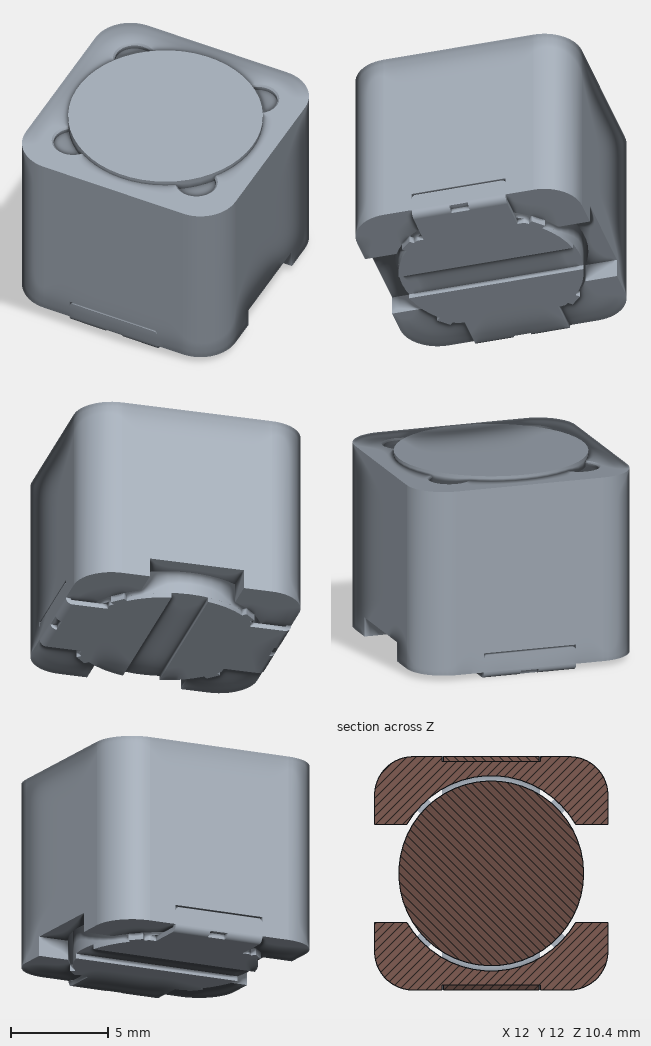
import cadquery as cq
import math


housing_side = 12.0
housing_corner_radius = 2.0
housing_bottom = 0.35
housing_top = 10.13
bore_diameter = 10.0
foot_opening_width = 5.0
foot_opening_height = 1.02

pocket_diameter = 2.0
pocket_depth = 0.3
pocket_chamfer = 0.1

core_top = 10.38
core_lower_diameter = 9.5

sheet_thickness = 0.25
terminal_width = foot_opening_width
terminal_top = 1.27
terminal_corner_radius = 0.2
bend_radius = housing_bottom
terminal_gap = 1.95
pad_radius = core_lower_diameter / 2
pad_front = 3.79
lug_width = 0.79
lug_reach = 5.0
bend_notch_width = 0.98

half_side = housing_side / 2
pocket_floor = housing_top - pocket_depth


def upright_cylinder(diameter, bottom, top):
    """Cylinder on the Z axis between two heights."""
    return cq.Workplane("XY").workplane(offset=bottom).circle(diameter / 2).extrude(top - bottom)


def block(x_range, y_range, z_range):
    """Box between two coordinates on each axis."""
    corner = (x_range[0], y_range[0], z_range[0])
    size = [high - low for low, high in (x_range, y_range, z_range)]
    return cq.Workplane("XY").box(*size, centered=False).translate(corner)


def across(width):
    """Range of the given width, centred on zero."""
    return (-width / 2, width / 2)


def cut_corner_pockets(body):
    """Four chamfered blind pockets in the top face, on the diagonals."""
    pocket_radius = pocket_diameter / 2
    pocket = cq.Workplane("XY").workplane(offset=pocket_floor).circle(pocket_radius).extrude(pocket_depth)
    chamfer_cone = (
        cq.Workplane("XY")
        .workplane(offset=housing_top - pocket_chamfer)
        .circle(pocket_radius)
        .workplane(offset=pocket_chamfer)
        .circle(pocket_radius + pocket_chamfer)
        .loft(ruled=True)
    )
    for angle in (45, 135, 225, 315):
        for cutter in (pocket, chamfer_cone):
            placed = cutter.translate((bore_diameter / 2, 0, 0)).rotate((0, 0, 0), (0, 0, 1), angle)
            body = body.cut(placed)
    return body


def make_housing():
    body = (
        cq.Workplane("XY")
        .workplane(offset=housing_bottom)
        .rect(housing_side, housing_side)
        .extrude(housing_top - housing_bottom)
        .edges("|Z")
        .fillet(housing_corner_radius)
    )
    body = cut_corner_pockets(body)
    body = body.cut(upright_cylinder(bore_diameter, housing_bottom, housing_top))

    opening_z = (housing_bottom, housing_bottom + foot_opening_height)
    for angle in (0, 180):
        side_opening = block((-half_side, 0), across(foot_opening_width), opening_z)
        terminal_recess = block(
            across(terminal_width), (-half_side, sheet_thickness - half_side), opening_z
        )
        for cutter in (side_opening, terminal_recess):
            body = body.cut(cutter.rotate((0, 0, 0), (0, 0, 1), angle))
    return body


def make_core():
    """Stepped core: a disc that fills the bore at the top and a narrower part below it."""
    lower_part = upright_cylinder(core_lower_diameter, sheet_thickness, pocket_floor)
    top_disc = upright_cylinder(bore_diameter, pocket_floor, core_top)
    return lower_part.union(top_disc)


def make_bent_strip():
    """L-shaped strip: upright against the housing, then bent inward under it."""
    strip = (
        cq.Workplane("YZ")
        .moveTo(-half_side, terminal_top)
        .lineTo(-half_side, bend_radius)
        .radiusArc((bend_radius - half_side, 0), -bend_radius)
        .lineTo(-terminal_gap / 2, 0)
        .lineTo(-terminal_gap / 2, sheet_thickness)
        .lineTo(bend_radius - half_side, sheet_thickness)
        .radiusArc((sheet_thickness - half_side, bend_radius), bend_radius - sheet_thickness)
        .lineTo(sheet_thickness - half_side, terminal_top)
        .close()
        .extrude(terminal_width / 2, both=True)
    )
    return strip.edges("|Y and >Z").fillet(terminal_corner_radius)


def make_pad():
    """Part of a disc under the core, cut flat toward the bend and toward the other terminal."""
    disc = upright_cylinder(2 * pad_radius, 0, sheet_thickness)
    kept = block(across(2 * pad_radius), (-pad_front, -terminal_gap / 2), (0, sheet_thickness))
    pad = disc.intersect(kept)
    return pad.edges("|Z and <Y").fillet(terminal_corner_radius)


def make_lug(angle):
    """Lug that sticks out past the core and ends level with the housing underside."""
    lug = block((lug_reach / 2, lug_reach), across(lug_width), (0, housing_bottom))
    lug = lug.cut(upright_cylinder(core_lower_diameter, sheet_thickness, housing_bottom))
    return lug.rotate((0, 0, 0), (0, 0, 1), angle)


def make_terminal(angle):
    """Terminal of the -Y side, turned about Z by the given angle."""
    bend_notch = block(
        across(bend_notch_width), (-half_side, bend_radius - half_side), (0, sheet_thickness)
    )
    terminal = make_bent_strip().union(make_pad())
    for lug_angle in (225, 315):
        terminal = terminal.union(make_lug(lug_angle))
    return terminal.cut(bend_notch).rotate((0, 0, 0), (0, 0, 1), angle)


housing = make_housing()
core = make_core()
terminals = [make_terminal(angle) for angle in (0, 180)]

result = cq.Compound.makeCompound(
    [housing.val(), core.val(), *[terminal.val() for terminal in terminals]]
)